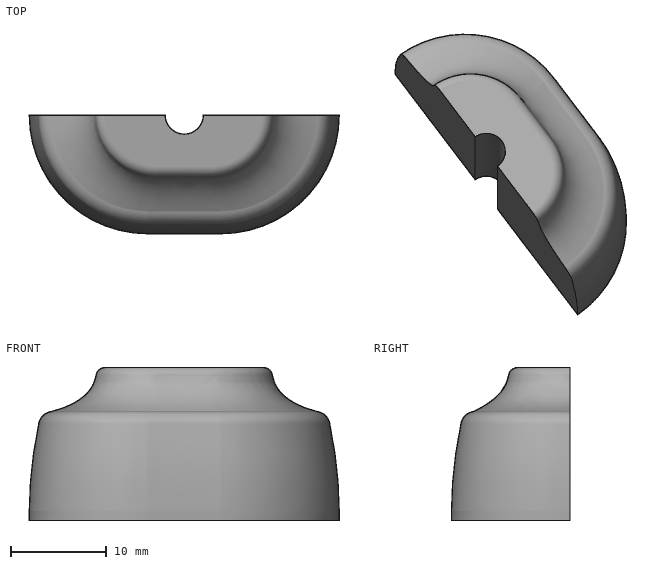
import cadquery as cq

length = 32.4
depth = 12.4
height = 16.0

shell_run = length / 2 - depth
band_height = 0.97
wall_top_z = 9.98
wall_top_radius = 11.45
wall_mid_z = 5.5
wall_mid_radius = 12.15
shoulder_z = 11.4
shoulder_radius = 10.08
shoulder_mid_z = 10.92
shoulder_mid_radius = 11.0

neck_sections = [
    (shoulder_z, shoulder_radius, shell_run),
    (12.25, 8.6, 3.0),
    (13.48, 7.2, 2.82),
    (15.13, 6.45, 2.8),
]

rim_z, rim_radius, rim_run = neck_sections[-1]
rim_mid_z = 15.7
rim_mid_radius = 6.15
top_radius = 5.45

bore_radius = 1.98


def sweep_stadium(profile, half_run):
    """Sweep a radius-height profile around a stadium and keep its -Y half."""
    straight = profile.rotate((0, 0, 0), (0, 0, 1), -90)
    body = cq.Workplane(cq.Solid.extrudeLinear(
        straight.outerWire(), [], cq.Vector(2 * half_run, 0, 0)
    )).translate((-half_run, 0, 0))
    for angle, x in ((-180, -half_run), (-90, half_run)):
        start = profile.rotate((0, 0, 0), (0, 0, 1), angle)
        corner = cq.Workplane(cq.Solid.revolve(
            start.outerWire(), [], 90, cq.Vector(0, 0, 0), cq.Vector(0, 0, 1)
        )).translate((x, 0, 0))
        body = body.union(corner)
    return body


def profile_face(sketch):
    """Turn a closed radius-height outline into a face."""
    return cq.Face.makeFromWires(sketch.val())


def half_stadium(z, radius, half_run):
    """Closed half-stadium outline with its straight back edge on Y = 0."""
    diagonal = radius * 0.5 ** 0.5
    return (
        cq.Workplane("XY", origin=(0, 0, z))
        .moveTo(-half_run - radius, 0)
        .threePointArc((-half_run - diagonal, -diagonal), (-half_run, -radius))
        .lineTo(half_run, -radius)
        .threePointArc((half_run + diagonal, -diagonal), (half_run + radius, 0))
        .close()
        .val()
    )


shell_profile = profile_face(
    cq.Workplane("XZ")
    .lineTo(depth, 0)
    .lineTo(depth, band_height)
    .threePointArc((wall_mid_radius, wall_mid_z), (wall_top_radius, wall_top_z))
    .threePointArc((shoulder_mid_radius, shoulder_mid_z), (shoulder_radius, shoulder_z))
    .lineTo(0, shoulder_z)
    .close()
)
shell = sweep_stadium(shell_profile, shell_run)

neck = cq.Workplane(cq.Solid.makeLoft([half_stadium(*section) for section in neck_sections]))

rim_profile = profile_face(
    cq.Workplane("XZ")
    .moveTo(0, rim_z)
    .lineTo(rim_radius, rim_z)
    .threePointArc((rim_mid_radius, rim_mid_z), (top_radius, height))
    .lineTo(0, height)
    .close()
)
rim = sweep_stadium(rim_profile, rim_run)

bore = cq.Workplane("XY").circle(bore_radius).extrude(height)

result = shell.union(neck).union(rim).cut(bore)